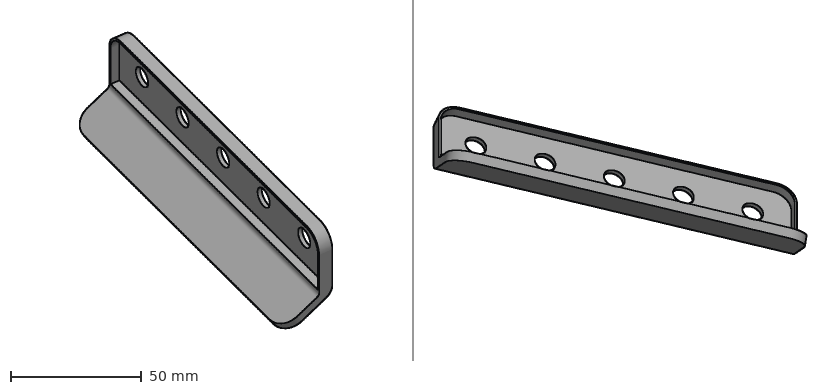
import cadquery as cq
import math

length = 145.0
depth = 23.3
height = 42.3

plate_thickness = 6.1
flange_thickness = 4.0
flange_slope = math.radians(30)
inner_bend_radius = 2.0
outer_bend_radius = inner_bend_radius + flange_thickness
corner_radius = 8.4

rim_width = 1.0
tray_depth = 4.0
tray_height = 25.7

hole_diameter = 8.4
hole_count = 5
hole_spacing = 28.0
hole_drop = 13.8


def bent_body():
    """Side profile extruded along X; back face at Y = 0, top edge at Z = 0."""
    run = math.cos(flange_slope)
    slope = math.tan(flange_slope)
    tip_top_z = -height + flange_thickness * run
    tip_bottom_y = -depth + flange_thickness * math.sin(flange_slope)
    inner_bend_z = tip_top_z + (depth - plate_thickness) * slope
    outer_bend_z = -height - tip_bottom_y * slope
    body = (
        cq.Workplane("YZ")
        .moveTo(0, 0)
        .lineTo(0, outer_bend_z)
        .lineTo(tip_bottom_y, -height)
        .lineTo(-depth, tip_top_z)
        .lineTo(-plate_thickness, inner_bend_z)
        .lineTo(-plate_thickness, 0)
        .close()
        .extrude(length / 2, both=True)
    )
    inner_edge = cq.NearestToPointSelector((0, -plate_thickness, inner_bend_z))
    outer_edge = cq.NearestToPointSelector((0, 0, outer_bend_z))
    body = body.edges("|X").edges(inner_edge).fillet(inner_bend_radius)
    body = body.edges("|X").edges(outer_edge).fillet(outer_bend_radius)

    body = body.faces(">Z").edges("|Y").fillet(corner_radius)
    tip_normal = cq.Vector(0, -run, -math.sin(flange_slope))
    tip_face = body.faces(cq.DirectionMinMaxSelector(tip_normal, True))
    return tip_face.edges("not |X").fillet(corner_radius)


def tray():
    """Recess with a narrow rim and upper corners concentric with the plate."""
    tray_center_z = -rim_width - tray_height / 2
    return (
        cq.Workplane("XY")
        .box(length - 2 * rim_width, tray_depth, tray_height)
        .edges("|Y and >Z")
        .fillet(corner_radius - rim_width)
        .translate((0, -plate_thickness + tray_depth / 2, tray_center_z))
    )


def mounting_holes():
    """Row of through holes along the plate."""
    return (
        cq.Workplane("XZ")
        .center(0, -hole_drop)
        .rarray(hole_spacing, 1.5, hole_count, 1)
        .circle(hole_diameter / 2)
        .extrude(plate_thickness)
    )


result = bent_body().cut(tray()).cut(mounting_holes())